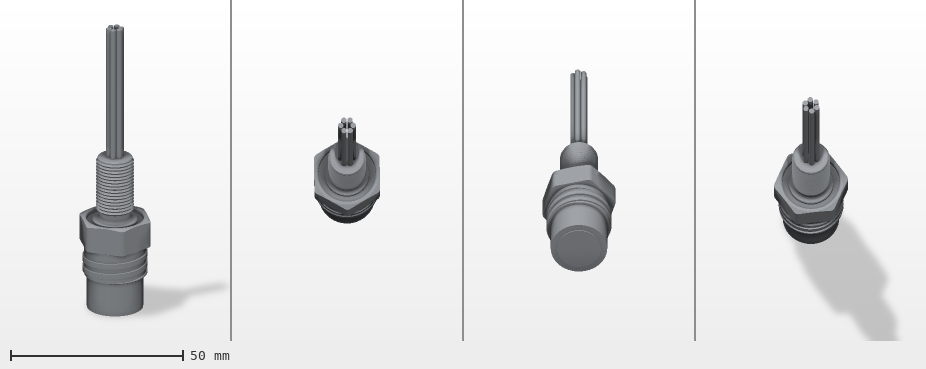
import cadquery as cq
import math

total_height = 87.8
plug_face_z = 0.3
shoulder_z = 10.7
hex_bottom_z = 20.2
hex_top_z = 28.3
thread_top_z = 47.3

plug_diameter = 16.4
end_disc_diameter = 12.7
sleeve_diameter = 18.0
undercut_diameter = 17.55
undercut_height = 0.4

rib_outer_diameter = 19.0
rib_pitch = 3.2
rib_width = rib_pitch / 2
rib_root_overlap = 0.3
rib_sweep_turns = 3.2
rib_sweep_start_z = 9.1
rib_sweep_start_angle = 180.0
rib_bottom_z = shoulder_z
rib_bevel_angle = 35.0
rib_top_z = 17.9
rib_trim_margin = 1.75

hex_sides = 6
hex_across_flats = 19.05
hex_corner_radius = 1.6
hex_top_diameter = 18.6
hex_chamfer_angle = 17.0

recess_rim_diameter = 17.2
boss_top_diameter = 12.7
recess_edge_bevel = 0.22
boss_top_z = 27.9
recess_depth = 1.3

neck_diameter = 9.4
neck_top_z = 30.4
neck_fillet_radius = 0.9
thread_diameter = 11.0
thread_root_diameter = 10.2
first_crest_z = 31.1
last_crest_z = 46.1
ridge_count = 16
thread_pitch = (last_crest_z - first_crest_z) / (ridge_count - 1)
thread_end_chamfer = 0.3

wire_count = 6
wire_diameter = 1.6
wire_core_diameter = 2.0
wire_circle_radius = (wire_core_diameter + wire_diameter) / 2
wire_first_angle = 90.0


def cylinder(diameter, bottom, top):
    return cq.Workplane("XY").workplane(offset=bottom).circle(diameter / 2).extrude(top - bottom)


def revolve_profile(points):
    """Turn a closed outline of (radius, height) points about the Z axis."""
    return cq.Workplane("XZ").polyline(points).close().revolve(360, (0, 0, 0), (0, 1, 0))


def make_plug_and_sleeve():
    undercut_z = hex_bottom_z - undercut_height
    end_disc = cylinder(end_disc_diameter, 0, shoulder_z)
    plug = cylinder(plug_diameter, plug_face_z, shoulder_z)
    sleeve = cylinder(sleeve_diameter, shoulder_z, undercut_z)
    undercut = cylinder(undercut_diameter, undercut_z, hex_bottom_z)
    return plug.union(end_disc).union(sleeve).union(undercut)


def make_rib():
    root_radius = sleeve_diameter / 2
    bevel_height = rib_trim_margin * math.tan(math.radians(rib_bevel_angle))
    trim_radius = root_radius + rib_trim_margin
    buried_radius = root_radius - rib_root_overlap
    radial_length = rib_outer_diameter / 2 - buried_radius
    path = cq.Wire.makeHelix(rib_pitch, rib_pitch * rib_sweep_turns, buried_radius)
    profile = cq.Workplane("XZ").center(buried_radius + radial_length / 2, 0).rect(radial_length, rib_width)
    rib = profile.sweep(cq.Workplane(path), isFrenet=True)
    rib = rib.rotate((0, 0, 0), (0, 0, 1), rib_sweep_start_angle).translate((0, 0, rib_sweep_start_z))
    top_trim = revolve_profile([
        (0, rib_top_z),
        (root_radius, rib_top_z),
        (trim_radius, rib_top_z - bevel_height),
        (trim_radius, hex_top_z),
        (0, hex_top_z),
    ])
    bottom_trim = revolve_profile([
        (0, rib_bottom_z),
        (root_radius, rib_bottom_z),
        (trim_radius, rib_bottom_z + bevel_height),
        (trim_radius, 0),
        (0, 0),
    ])
    return rib.cut(top_trim).cut(bottom_trim)


def make_hexagon():
    height = hex_top_z - hex_bottom_z
    across_corners = hex_across_flats / math.cos(math.pi / hex_sides)
    hexagon = cq.Workplane("XY").workplane(offset=hex_bottom_z).polygon(hex_sides, across_corners)
    hexagon = hexagon.extrude(height).edges("|Z").fillet(hex_corner_radius)
    corner_radius = across_corners / 2
    top_radius = hex_top_diameter / 2
    chamfer_drop = (corner_radius - top_radius) * math.tan(math.radians(hex_chamfer_angle))
    envelope = revolve_profile([
        (0, hex_bottom_z),
        (corner_radius, hex_bottom_z),
        (corner_radius, hex_top_z - chamfer_drop),
        (top_radius, hex_top_z),
        (0, hex_top_z),
    ])
    recess_floor_z = hex_top_z - recess_depth
    rim_radius = recess_rim_diameter / 2
    boss_top_radius = boss_top_diameter / 2
    recess = revolve_profile([
        (0, recess_floor_z),
        (rim_radius - recess_edge_bevel, recess_floor_z),
        (rim_radius - recess_edge_bevel, hex_top_z - recess_edge_bevel),
        (rim_radius, hex_top_z),
        (0, hex_top_z),
    ])
    boss = revolve_profile([
        (0, recess_floor_z),
        (boss_top_radius + recess_edge_bevel, recess_floor_z),
        (boss_top_radius + recess_edge_bevel, boss_top_z - recess_edge_bevel),
        (boss_top_radius, boss_top_z),
        (0, boss_top_z),
    ])
    return hexagon.intersect(envelope).cut(recess).union(boss)


def make_threaded_stem():
    neck = neck_diameter / 2
    crest = thread_diameter / 2
    root = thread_root_diameter / 2
    fillet_end = neck + neck_fillet_radius
    fillet_middle_offset = neck_fillet_radius * (1 - math.sqrt(0.5))
    outline = (
        cq.Workplane("XZ")
        .moveTo(0, boss_top_z)
        .lineTo(fillet_end, boss_top_z)
        .threePointArc(
            (neck + fillet_middle_offset, boss_top_z + fillet_middle_offset),
            (neck, boss_top_z + neck_fillet_radius),
        )
        .lineTo(neck, neck_top_z)
    )
    for ridge in range(ridge_count):
        crest_z = first_crest_z + ridge * thread_pitch
        outline = outline.lineTo(crest, crest_z).lineTo(root, crest_z + thread_pitch / 2)
    outline = outline.lineTo(root, thread_top_z - thread_end_chamfer)
    outline = outline.lineTo(root - thread_end_chamfer, thread_top_z).lineTo(0, thread_top_z).close()
    return outline.revolve(360, (0, 0, 0), (0, 1, 0))


def make_wires():
    return (
        cq.Workplane("XY")
        .workplane(offset=thread_top_z)
        .polarArray(wire_circle_radius, wire_first_angle, 360, wire_count)
        .circle(wire_diameter / 2)
        .extrude(total_height - thread_top_z)
    )


result = (
    make_plug_and_sleeve()
    .union(make_hexagon())
    .union(make_threaded_stem())
    .union(make_rib())
    .union(make_wires())
)